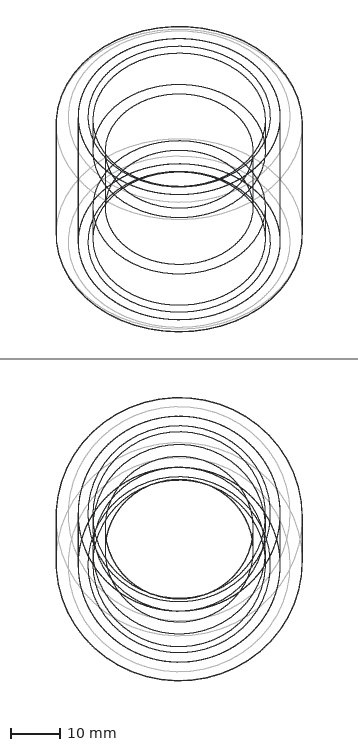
import cadquery as cq

outer_diameter = 50.0
height = 40.0
edge_radius = 2.5

liner_diameter = 41.0
bore_diameter = 30.0

seat_diameter = 35.0
seat_depth = 11.0
mouth_chamfer = 1.0


def make_sleeve():
    """Outer sleeve with rounded outer rims and a plain bore for the liner."""
    body = cq.Workplane("XY").circle(outer_diameter / 2).extrude(height)
    body = body.faces("<Z or >Z").edges().fillet(edge_radius)
    return body.faces(">Z").workplane().hole(liner_diameter)


def make_liner():
    """Liner with a through bore and matching chamfered seats at both ends."""
    body = cq.Workplane("XY").circle(liner_diameter / 2).circle(bore_diameter / 2).extrude(height)
    for end in ("<Z", ">Z"):
        body = body.faces(end).workplane(centerOption="CenterOfBoundBox").hole(seat_diameter, seat_depth)
        mouth_edge = body.faces(end).edges(cq.selectors.RadiusNthSelector(0))
        body = mouth_edge.chamfer(mouth_chamfer)
    return body


sleeve = make_sleeve()
liner = make_liner()

result = cq.Compound.makeCompound([sleeve.val(), liner.val()])